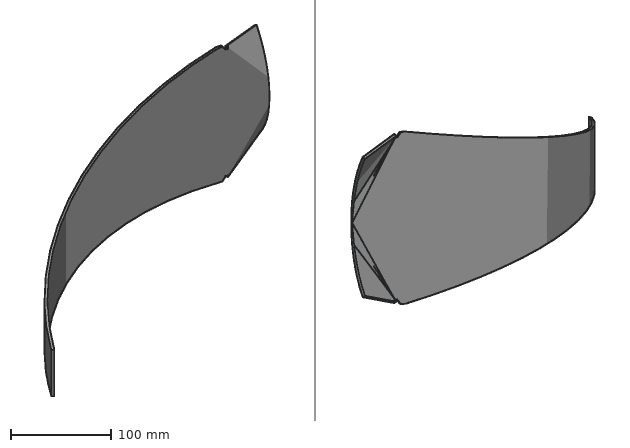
import cadquery as cq
import math

thickness = 3.0

hood_radius = 100.0
hood_flat_half_width = 0.5
hood_length = 48.0
corner_radius = 5.0
sector_angle = 45.0
bend_steps = 7
open_corner = 1
flatness = 1e-6

strap_half_height = 87.4
strap_end_half_height = 30.0
strap_radius = 400.0
relief = 7.0
notch_width = 3.0
wall_lean = 4.4
strip_width = 5.0
strip_y = -hood_length - relief
curve_y = strip_y - strip_width
strap_end_y = -387.99
strip_x = hood_radius + wall_lean
wall_slope = wall_lean / -strip_y
hood_end_wall_x = hood_radius + wall_slope * hood_length
corner_z = strap_half_height - corner_radius


def section_point(wall_x, radius, centre_z, y, side, angle):
    """Point on the outside of a hood section, at an angle round the bend from its flat wall."""
    x = wall_x - radius * (1 - math.cos(angle))
    z = side * (centre_z + radius * math.sin(angle))
    return cq.Vector(x, y, z)


def hood_line(side, step):
    """Bend line across the hood, on the upper (1) or lower (-1) side; step 0 borders the flat wall.

    Gives its four corners: outside at the round and rectangular ends, then inside at the same ends reversed.
    """
    angle = math.radians(sector_angle) * step / bend_steps
    round_end = section_point(hood_radius, hood_radius, hood_flat_half_width, 0, side, angle)
    corner_end = section_point(hood_end_wall_x, corner_radius, corner_z, -hood_length, side, angle)
    tangent = cq.Vector(-math.sin(angle), 0, side * math.cos(angle))
    outward = (corner_end - round_end).cross(tangent).normalized() * -side
    inward = outward * -thickness
    return round_end, corner_end, corner_end + inward, round_end + inward


def four_sided_face(a, b, c, d):
    """Face through four corners: flat if they lie in a plane, otherwise slightly twisted."""
    normal = (b - a).cross(c - a).normalized()
    if abs((d - a).dot(normal)) < flatness:
        return cq.Face.makeFromWires(cq.Wire.makePolygon([a, b, c, d], close=True))
    return cq.Face.makeRuledSurface(cq.Edge.makeLine(a, b), cq.Edge.makeLine(d, c))


def hood_faces():
    """Skin of the hood, left open where its flat wall runs on into the strap."""
    steps = range(bend_steps + 1)
    lines = [hood_line(-1, step) for step in reversed(steps)] + [hood_line(1, step) for step in steps]
    faces = [four_sided_face(*lines[0]), four_sided_face(*lines[-1])]
    for index, (here, there) in enumerate(zip(lines, lines[1:])):
        for corner in range(4):
            if index == bend_steps and corner == open_corner:
                continue
            following = (corner + 1) % 4
            faces.append(four_sided_face(here[corner], here[following], there[following], there[corner]))
    return faces


def strap_faces():
    """Skin of the strap, left open where it meets the hood's flat wall."""
    convex_radius = strap_radius + thickness
    end_angle = math.asin(-strap_end_y / convex_radius)
    start_angle = math.asin(-curve_y / strap_radius)
    centre_x = strip_x + strap_radius * math.cos(start_angle)
    middle = (start_angle + end_angle) / 2

    def on_arc(radius, angle):
        return (centre_x - radius * math.cos(angle), -radius * math.sin(angle))

    _, outer, inner, _ = hood_line(1, 0)
    strip_inside_x = strip_x - thickness
    strip_inside_y = inner.y - (strip_inside_x - inner.x) / wall_slope
    convex_start = math.acos((centre_x - strip_inside_x) / convex_radius)
    profile = (
        cq.Workplane("XY")
        .moveTo(outer.x, outer.y)
        .lineTo(strip_x, strip_y)
        .lineTo(*on_arc(strap_radius, start_angle))
        .threePointArc(on_arc(strap_radius, middle), on_arc(strap_radius, end_angle))
        .lineTo(*on_arc(convex_radius, end_angle))
        .threePointArc(on_arc(convex_radius, middle), on_arc(convex_radius, convex_start))
        .lineTo(strip_inside_x, strip_inside_y)
        .lineTo(inner.x, inner.y)
        .close()
        .extrude(strap_half_height, both=True)
    )
    half = [
        (-hood_length, corner_z),
        (-hood_length - notch_width, corner_z),
        (strip_y, strap_half_height),
        (curve_y, strap_half_height),
        (strap_end_y, strap_end_half_height),
    ]
    outline = half + [(y, -z) for y, z in reversed(half)]
    blank = cq.Workplane("YZ").polyline(outline).close().extrude(strap_radius)
    strap = profile.intersect(blank)
    return strap.faces("not >Y").vals()


skin = cq.Shell.makeShell(hood_faces() + strap_faces())
result = cq.Workplane(cq.Solid.makeSolid(skin)).clean()